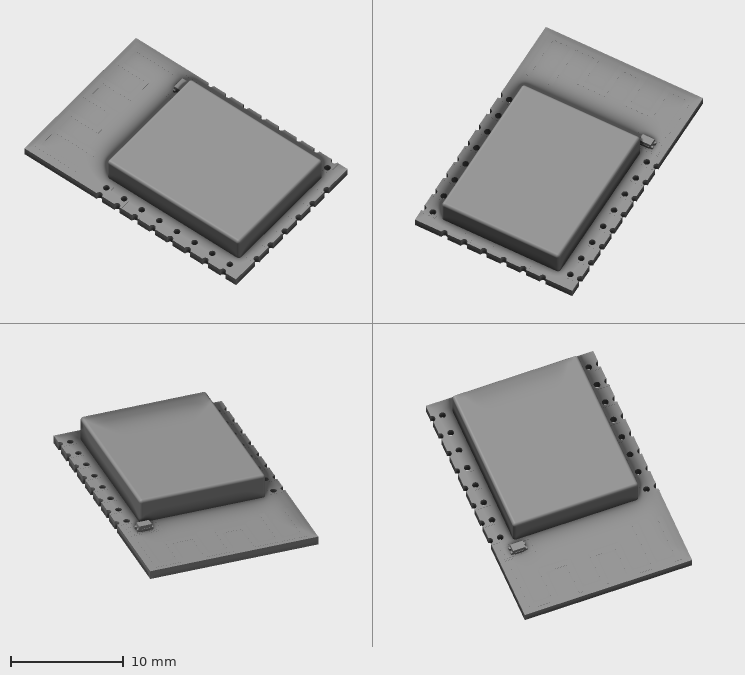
import cadquery as cq

overall_length = 24.0
overall_height = 3.12
metal = 0.01

board_length = overall_length - metal
pad_pitch = board_length / 12
board_width = 8 * pad_pitch
board_thickness = 0.82

pad_width = 1.0
side_pad_depth = 1.5
side_pad_count = 8
side_pad_end_margin = 1.5
end_pad_depth = 0.9
end_pad_count = 6
hole_diameter = 0.6
hole_inset = 1.0

trace_width = 0.5
antenna_left = 0.67
antenna_fold = 3.85
antenna_tip = 5.15
antenna_rows = [7.03, 4.83, 2.35, 0.05, -2.35, -4.65, -6.99]

shield_start = 7.78
shield_length = 15.0
shield_width = 12.0
shield_radius = 0.3

led_x = 6.75
led_y = 6.0
led_length = 1.55
led_width = 0.85
led_base_height = 0.26
led_height = 0.58
terminal_length = 0.34
terminal_width = 0.72
terminal_notch_radius = 0.17
lens_length = 1.25
lens_width = 0.8
lens_taper = 6.0

land_gap = 0.34
land_width = 1.1
land_length = 1.13
bracket_clearance = 0.1
bracket_line = 0.12


def block(x_range, y_range, z_range):
    """Box between two limits on each axis."""
    sizes = [high - low for low, high in (x_range, y_range, z_range)]
    corner = (x_range[0], y_range[0], z_range[0])
    return cq.Workplane("XY").box(*sizes, centered=False).translate(corner)


def post(x, y, radius, z_range):
    """Vertical cylinder."""
    low, high = z_range
    return cq.Workplane("XY", origin=(x, y, low)).circle(radius).extrude(high - low)


board_top = board_thickness
metal_top = board_top + metal
raised = (board_top / 2, metal_top)
full_depth = (0, metal_top)
half_width = board_width / 2
hole_radius = hole_diameter / 2


def side_pads(board):
    """Pads along both long edges, each with an edge notch and a hole."""
    last_x = board_length - side_pad_end_margin
    for index in range(side_pad_count):
        x = last_x - index * pad_pitch
        x_range = (x - pad_width / 2, x + pad_width / 2)
        for side in (-1, 1):
            y_range = sorted((side * (half_width - side_pad_depth), side * (half_width + metal)))
            board = board.union(block(x_range, y_range, full_depth))
            board = board.cut(post(x, side * half_width, hole_radius, full_depth))
            board = board.cut(post(x, side * (half_width - hole_inset), hole_radius, full_depth))
    return board


def end_pads(board):
    """Pads along the +X edge, each with an edge notch."""
    x_range = (board_length - end_pad_depth, overall_length)
    for index in range(end_pad_count):
        y = (index - (end_pad_count - 1) / 2) * pad_pitch
        board = board.union(block(x_range, (y - pad_width / 2, y + pad_width / 2), full_depth))
        board = board.cut(post(board_length, y, hole_radius, full_depth))
    return board


def trace(start, end):
    """Straight antenna trace between two centre-line points, with square ends."""
    half = trace_width / 2
    x_range = (min(start[0], end[0]) - half, max(start[0], end[0]) + half)
    y_range = (min(start[1], end[1]) - half, max(start[1], end[1]) + half)
    return block(x_range, y_range, raised)


def antenna(board):
    """Folded trace that ends in a two-pronged fork on the -Y side."""
    row_ends = [antenna_tip] + [antenna_fold] * 4 + [antenna_tip] * 2
    for y, right in zip(antenna_rows, row_ends):
        board = board.union(trace((antenna_left, y), (right, y)))
    link_columns = [antenna_left, antenna_fold] * 2 + [antenna_left] * 2
    for x, upper, lower in zip(link_columns, antenna_rows, antenna_rows[1:]):
        board = board.union(trace((x, upper), (x, lower)))
    return board


def led_land(side):
    """Solder land under one end of the diode, with the printed bracket around it."""
    inner = land_gap / 2
    outer = inner + land_length
    bracket_inside = outer + bracket_clearance
    half_land = land_width / 2
    half_inside = half_land + bracket_clearance
    half_bracket = half_inside + bracket_line

    def patch(half, reach):
        y_range = sorted((led_y + side * inner, led_y + side * reach))
        return block((led_x - half, led_x + half), y_range, raised)

    bracket = patch(half_bracket, bracket_inside + bracket_line).cut(patch(half_inside, bracket_inside))
    return bracket.union(patch(half_land, outer))


def make_board():
    board = block((0, board_length), (-half_width, half_width), (0, board_top))
    board = side_pads(board)
    board = end_pads(board)
    board = antenna(board)
    for side in (-1, 1):
        board = board.union(led_land(side))
    return board


def make_shield():
    x_range = (shield_start, shield_start + shield_length)
    y_range = (-shield_width / 2, shield_width / 2)
    shield = block(x_range, y_range, (board_top, overall_height))
    return shield.edges("|Z or >Z").fillet(shield_radius)


led_bottom = metal_top
led_base_top = led_bottom + led_base_height


def make_led_terminal(side):
    """End of the diode base, with a rounded solder notch in its outer face."""
    end_y = led_y + side * led_length / 2
    z_range = (led_bottom, led_base_top)
    y_range = sorted((end_y, end_y - side * terminal_length))
    x_range = (led_x - terminal_width / 2, led_x + terminal_width / 2)
    terminal = block(x_range, y_range, z_range)
    return terminal.cut(post(led_x, end_y, terminal_notch_radius, z_range))


def make_led_body():
    """Middle of the diode base with the tapered lens on top, which covers part of the terminals."""
    half_middle = led_length / 2 - terminal_length
    x_range = (led_x - led_width / 2, led_x + led_width / 2)
    y_range = (led_y - half_middle, led_y + half_middle)
    middle = block(x_range, y_range, (led_bottom, led_base_top))
    lens = (
        cq.Workplane("XY", origin=(led_x, led_y, led_base_top))
        .rect(lens_width, lens_length)
        .extrude(led_height - led_base_height, taper=lens_taper)
    )
    return middle.union(lens)


board = make_board()
shield = make_shield()
led_body = make_led_body()
led_terminals = [make_led_terminal(side) for side in (-1, 1)]

result = cq.Compound.makeCompound(
    [board.val(), shield.val(), led_body.val(), *[terminal.val() for terminal in led_terminals]]
)